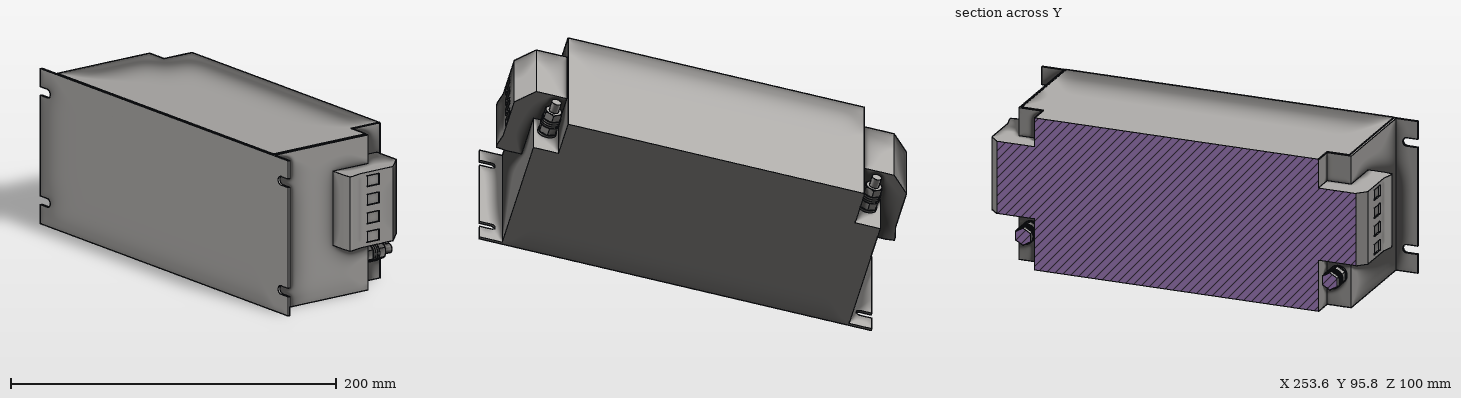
import cadquery as cq

plate_width = 250.0
tray_height = 99.4
sheet_thickness = 1.5
body_width = 221.0
overall_height = 100.0

cover_width = body_width - 2 * sheet_thickness
cover_thickness = overall_height - tray_height
cover_front_y = 1.0
cover_bend_radius = 1.5
cover_side_inset = 0.2
back_y = 95.0

rear_width = 189.0
ledge_y = 73.0

slot_width = 5.5
slot_end_x = 115.0
slot_heights = (15.0, 85.0)

terminal_count = 4
terminal_pitch = 11.9
terminal_bottom_z = 33.5
terminal_front_y = 45.9
terminal_back_y = 92.2
terminal_side_x = 125.0
terminal_chamfer = 11.0
lip_x = 126.8
lip_top_y = 55.9
lip_edge_y = 48.9
lip_bottom_y = 46.6
lip_inner_x = 121.3

entry_length = 9.2
entry_height = 6.9
entry_depth = 1.0
entry_center_y = 66.0

stud_x = 102.0
stud_z = 20.8
stud_diameter = 6.0
stud_tip_y = 95.8
washer_diameter = 11.7
spring_washer_diameter = 11.4
washer_thickness = 1.5
nut_across_corners = 11.6
nut_across_flats = 10.0
nut_height = 5.2
nut_chamfer_height = 0.6


def block(width, front_y, rear_y, height):
    """Box centred on X and standing on Z = 0."""
    depth = rear_y - front_y
    base = cq.Workplane("XY", origin=(0, front_y, 0))
    return base.box(width, depth, height, centered=(True, False, False))


def make_front_plate():
    plate = block(plate_width, 0, sheet_thickness, tray_height)
    slot_run = plate_width - 2 * slot_end_x
    for side in (-1, 1):
        for z in slot_heights:
            slot = (
                cq.Workplane("XZ")
                .center(side * plate_width / 2, z)
                .slot2D(slot_run, slot_width)
                .extrude(-sheet_thickness)
            )
            plate = plate.cut(slot)
    return plate


def make_box():
    front_body = block(body_width, 0, ledge_y, tray_height)
    rear_body = block(rear_width, 0, back_y - cover_thickness, tray_height)
    rear_body = rear_body.edges(">Y and >Z").fillet(cover_bend_radius - cover_thickness)
    return front_body.union(rear_body)


def make_cover():
    front_part = block(cover_width, cover_front_y, ledge_y - cover_thickness, overall_height)
    rear_part = block(rear_width - 2 * cover_side_inset, cover_front_y, back_y, overall_height)
    rear_part = rear_part.edges(">Y and >Z").fillet(cover_bend_radius)
    return front_part.union(rear_part)


def make_terminals():
    """Terminal stack on the -X end, wrapped around the stepped rear corner."""
    stack_height = terminal_count * terminal_pitch
    stack = (
        cq.Workplane("XY", origin=(0, 0, terminal_bottom_z))
        .moveTo(-rear_width / 2, terminal_back_y)
        .lineTo(-terminal_side_x + terminal_chamfer, terminal_back_y)
        .lineTo(-terminal_side_x, terminal_back_y - terminal_chamfer)
        .lineTo(-terminal_side_x, lip_top_y)
        .lineTo(-lip_x, lip_edge_y)
        .lineTo(-lip_x, lip_bottom_y)
        .lineTo(-lip_inner_x, terminal_front_y)
        .lineTo(-body_width / 2, terminal_front_y)
        .lineTo(-body_width / 2, ledge_y)
        .lineTo(-rear_width / 2, ledge_y)
        .close()
        .extrude(stack_height)
    )
    for index in range(terminal_count):
        entry_z = terminal_bottom_z + (index + 0.5) * terminal_pitch
        entry = cq.Workplane("XY").box(2 * entry_depth, entry_length, entry_height)
        stack = stack.cut(entry.translate((-terminal_side_x, entry_center_y, entry_z)))
    return stack


def stud_disc(start_y, thickness, diameter):
    plane = cq.Workplane("XZ", origin=(-stud_x, start_y, stud_z))
    return plane.circle(diameter / 2).extrude(-thickness)


def stud_nut(start_y):
    """Hexagonal nut with corners pointing up and down."""
    plane = cq.Workplane("XZ", origin=(-stud_x, start_y, stud_z))
    return plane.transformed(rotate=(0, 0, 90)).polygon(6, nut_across_corners).extrude(-nut_height)


def make_earth_stud():
    """Stud on the -X ledge: washer, nut, spring washer between two washers, then a chamfered nut."""
    washer_diameters = (washer_diameter, spring_washer_diameter, washer_diameter)
    lower_nut_y = ledge_y + washer_thickness
    washers_y = lower_nut_y + nut_height
    upper_nut_y = washers_y + len(washer_diameters) * washer_thickness

    stud = stud_disc(ledge_y, stud_tip_y - ledge_y, stud_diameter)
    stud = stud.union(stud_disc(ledge_y, washer_thickness, washer_diameter))
    stud = stud.union(stud_nut(lower_nut_y))
    for index, diameter in enumerate(washer_diameters):
        washer_y = washers_y + index * washer_thickness
        stud = stud.union(stud_disc(washer_y, washer_thickness, diameter))

    chamfer_cone = (
        stud_disc(upper_nut_y, nut_height, nut_across_corners)
        .faces(">Y")
        .chamfer(nut_chamfer_height, (nut_across_corners - nut_across_flats) / 2)
    )
    return stud.union(stud_nut(upper_nut_y).intersect(chamfer_cone))


end_fittings = make_terminals().union(make_earth_stud())
enclosure = make_front_plate().union(make_box()).union(make_cover())
result = enclosure.union(end_fittings).union(end_fittings.mirror("YZ"))